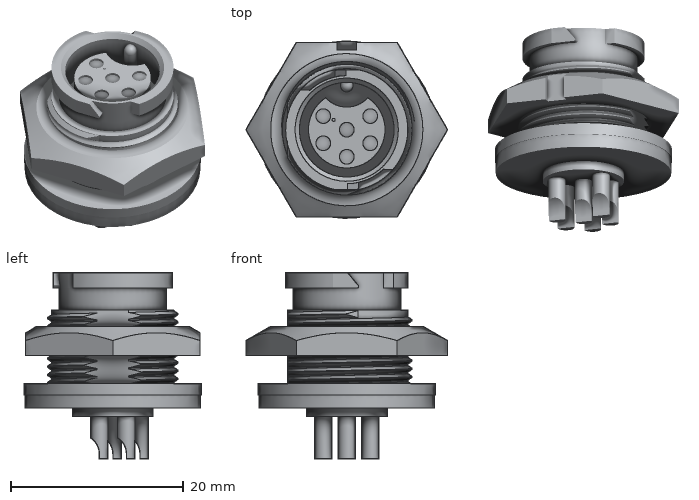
import cadquery as cq
import math


seal_radius = 10.31
seal_thickness = 1.3
flange_radius = 10.22
flange_thickness = 1.55
boss_radius = 4.71
boss_height = 1.0

barrel_radius = 7.1
barrel_length = 8.55
barrel_flat_offset = 6.86
neck_radius = 6.28
neck_length = 2.55
collar_height = 1.8

thread_pitch = 0.94
thread_crest_radius = 7.6
thread_root_width = 0.8
thread_crest_width = 0.1
thread_sink = 0.12
thread_turns = 9.5
thread_end_drop = 0.48
thread_runout_length = 1.28

collar_flat_offset = 6.93
opening_end_y = 4.6
ramp_top_x = 0.1
ramp_bottom_x = 1.38
ramp_nose_radius = 0.25

socket_radius = 5.5
socket_chamfer = 0.5
socket_depth = 5.0
insert_radius = 4.45
insert_recess = 1.65
relief_radius = 3.3
relief_offset = 5.93
key_radius = 0.715
key_offset = 5.1
key_centre_drop = insert_recess
marker_radius = 0.18
marker_height = 0.13
marker_position = (-1.52, 1.15)

contact_circle_radius = 3.15
contact_angles = [30, 150, 210, 270, 330]
contact_hole_radius = 0.85
contact_hole_depth = 0.3
pin_radius = 1.0
pin_length = 4.89
pin_cut_length = 2.42
pin_cut_radius = 2.2

nut_corner_width = 23.46
nut_thickness = 3.4
nut_height = 3.26
nut_bore_radius = 7.5
nut_face_radius = 8.85
nut_chamfer_angle = 30
nut_notch_width = 2.28
nut_notch_floor_y = 9.29
groove_radius = 7.93
groove_mouth_width = 0.6
groove_bottom_width = 0.2

neck_base = barrel_length
collar_base = neck_base + neck_length
top = collar_base + collar_height
insert_top = top - insert_recess
socket_floor = top - socket_depth
flange_top = -seal_thickness
boss_top = flange_top - flange_thickness
boss_bottom = boss_top - boss_height
pin_bottom = boss_bottom - pin_length
thread_end_z = barrel_length - thread_end_drop
thread_start_z = thread_end_z - thread_turns * thread_pitch
thread_end_angle = -90
contact_positions = [(0, 0)] + [
    (
        contact_circle_radius * math.cos(math.radians(angle)),
        contact_circle_radius * math.sin(math.radians(angle)),
    )
    for angle in contact_angles
]


def cylinder(radius, bottom, height, x=0, y=0):
    return cq.Workplane("XY", origin=(x, y, bottom)).circle(radius).extrude(height)


def box(x_range, y_range, z_range):
    sizes = [span[1] - span[0] for span in (x_range, y_range, z_range)]
    corner = (x_range[0], y_range[0], z_range[0])
    return cq.Workplane("XY").box(*sizes, centered=False).translate(corner)


def helical_ridge(inner_radius, inner_width, outer_radius, outer_width):
    """Ridge of trapezoid section along the thread helix, ending at the thread end angle."""
    height = thread_turns * thread_pitch
    helix = cq.Wire.makeHelix(thread_pitch, height, inner_radius)
    ridge = (
        cq.Workplane("XZ")
        .moveTo(inner_radius, -inner_width / 2)
        .lineTo(outer_radius, -outer_width / 2)
        .lineTo(outer_radius, outer_width / 2)
        .lineTo(inner_radius, inner_width / 2)
        .close()
        .sweep(cq.Workplane(helix), isFrenet=True)
    )
    start_angle = thread_end_angle - 360 * thread_turns
    return ridge.rotate((0, 0, 0), (0, 0, 1), start_angle).translate((0, 0, thread_start_z))


def thread_width(radius):
    """Width of the barrel thread section, continued along its flanks to a radius."""
    slope = (thread_root_width - thread_crest_width) / (thread_crest_radius - barrel_radius)
    return thread_root_width - slope * (radius - barrel_radius)


def make_thread_runout(root_radius):
    """Straight end of the thread, sliced by a ramp from the crest down to the barrel."""
    half_root = thread_width(root_radius) / 2
    half_crest = thread_crest_width / 2
    ridge = (
        cq.Workplane("YZ")
        .moveTo(-root_radius, thread_end_z - half_root)
        .lineTo(-thread_crest_radius, thread_end_z - half_crest)
        .lineTo(-thread_crest_radius, thread_end_z + half_crest)
        .lineTo(-root_radius, thread_end_z + half_root)
        .close()
        .extrude(thread_runout_length)
    )
    ramp = (
        cq.Workplane("XY", origin=(0, 0, thread_end_z - thread_pitch))
        .moveTo(0, 0)
        .lineTo(0, -thread_crest_radius)
        .lineTo(thread_runout_length, -barrel_radius)
        .lineTo(thread_runout_length, 0)
        .close()
        .extrude(2 * thread_pitch)
    )
    return ridge.intersect(ramp)


def make_barrel():
    """Threaded barrel with one long flat on its -X side."""
    root_radius = barrel_radius - thread_sink
    thread = helical_ridge(
        root_radius, thread_width(root_radius), thread_crest_radius, thread_crest_width
    )
    runout = make_thread_runout(root_radius)
    core = cylinder(barrel_radius, flange_top, barrel_length - flange_top)
    barrel = core.union(thread).union(runout)
    reach = 2 * thread_crest_radius
    envelope = box(
        (-barrel_flat_offset, reach), (-reach, reach), (-seal_thickness / 2, barrel_length)
    )
    return barrel.intersect(envelope)


def make_opening():
    """Bayonet opening on the -Y side: a ramped nose at one end, a flat stop at the other."""
    reach = 2 * barrel_radius
    outline = (
        cq.Workplane("XZ")
        .moveTo(ramp_top_x, top)
        .lineTo(ramp_bottom_x, collar_base + ramp_nose_radius)
        .threePointArc(
            (ramp_bottom_x, collar_base + ramp_nose_radius / 2),
            (ramp_bottom_x - ramp_nose_radius / 2, collar_base),
        )
        .lineTo(reach, collar_base)
        .lineTo(reach, top)
        .close()
        .extrude(reach)
    )
    beyond_stop = box((0, reach), (-reach, -opening_end_y), (collar_base, top))
    return outline.intersect(beyond_stop).cut(cylinder(neck_radius, collar_base, collar_height))


def make_collar():
    """Bayonet collar with two opposite openings and flats beside them."""
    reach = 2 * barrel_radius
    collar = cylinder(barrel_radius, collar_base, collar_height)
    flats = (-collar_flat_offset, collar_flat_offset)
    collar = collar.intersect(box((-reach, reach), flats, (collar_base, top)))
    for turn in (0, 180):
        collar = collar.cut(make_opening().rotate((0, 0, 0), (0, 0, 1), turn))
    return collar


def make_socket():
    """Hollow of the collar, chamfered at its mouth."""
    bore = cylinder(socket_radius, socket_floor, socket_depth)
    mouth = (
        cq.Workplane("XY", origin=(0, 0, top))
        .circle(socket_radius + socket_chamfer)
        .workplane(offset=-socket_chamfer)
        .circle(socket_radius)
        .loft()
    )
    return bore.union(mouth)


def make_insert():
    """Contact insert standing in the socket, with a round relief, contact holes and a marker peg."""
    height = insert_top - socket_floor
    insert = cylinder(insert_radius, socket_floor, height)
    insert = insert.cut(cylinder(relief_radius, socket_floor, height, 0, relief_offset))
    for x, y in contact_positions:
        hole_floor = insert_top - contact_hole_depth
        insert = insert.cut(cylinder(contact_hole_radius, hole_floor, contact_hole_depth, x, y))
    marker = cylinder(marker_radius, insert_top, marker_height, *marker_position)
    return insert.union(marker)


def make_key():
    """Round-nosed key rib on the socket wall."""
    ball_z = top - key_centre_drop
    height = ball_z - socket_floor
    wall_y = (socket_radius + neck_radius) / 2
    rib = cylinder(key_radius, socket_floor, height, 0, key_offset)
    rib = rib.union(box((-key_radius, key_radius), (key_offset, wall_y), (socket_floor, ball_z)))
    ball = cq.Workplane("XY", origin=(0, key_offset, ball_z)).sphere(key_radius)
    crown = (
        cq.Workplane("XZ", origin=(0, key_offset, ball_z))
        .circle(key_radius)
        .extrude(key_offset - wall_y)
    )
    return rib.union(ball).union(crown)


def make_pin(x, y):
    """Solder pin, half cut away toward +Y at its lower end with a round run-out."""
    pin = cylinder(pin_radius, pin_bottom, pin_length, x, y)
    run_out = math.sqrt(pin_cut_radius**2 - (pin_cut_radius - pin_radius) ** 2)
    cut_top = pin_bottom + pin_cut_length
    arc_angle = math.asin(run_out / pin_cut_radius) / 2
    arc_centre_y = y + pin_cut_radius
    arc_centre_z = cut_top - run_out
    arc_middle = (
        arc_centre_y - pin_cut_radius * math.cos(arc_angle),
        arc_centre_z + pin_cut_radius * math.sin(arc_angle),
    )
    cut = (
        cq.Workplane("YZ", origin=(x - pin_radius, 0, 0))
        .moveTo(y, pin_bottom)
        .lineTo(y, arc_centre_z)
        .threePointArc(arc_middle, (y + pin_radius, cut_top))
        .lineTo(y + pin_radius, pin_bottom)
        .close()
        .extrude(2 * pin_radius)
    )
    return pin.cut(cut)


def make_connector():
    connector = cylinder(seal_radius, flange_top, seal_thickness)
    connector = connector.union(cylinder(flange_radius, boss_top, flange_thickness))
    connector = connector.union(cylinder(boss_radius, boss_bottom, boss_height))
    connector = connector.union(make_barrel())
    connector = connector.union(cylinder(neck_radius, neck_base, neck_length + collar_height))
    connector = connector.union(make_collar())
    connector = connector.cut(make_socket())
    connector = connector.union(make_insert()).union(make_key())
    for x, y in contact_positions:
        connector = connector.union(make_pin(x, y))
    return connector


def make_nut():
    """Hexagon nut with corners on X, one chamfered face, a threaded bore and a notch at +Y."""
    nut_top = nut_height + nut_thickness
    corner_radius = nut_corner_width / 2
    chamfer_drop = (corner_radius - nut_face_radius) * math.tan(math.radians(nut_chamfer_angle))
    base = cq.Workplane("XY", origin=(0, 0, nut_height))
    nut = base.polygon(6, nut_corner_width).extrude(nut_thickness)
    chamfered_blank = (
        cq.Workplane("XZ")
        .moveTo(0, nut_height)
        .lineTo(corner_radius, nut_height)
        .lineTo(corner_radius, nut_top - chamfer_drop)
        .lineTo(nut_face_radius, nut_top)
        .lineTo(0, nut_top)
        .close()
        .revolve(360, (0, 0, 0), (0, 1, 0))
    )
    nut = nut.intersect(chamfered_blank)
    half_notch = nut_notch_width / 2
    nut = nut.cut(
        box((-half_notch, half_notch), (nut_notch_floor_y, corner_radius), (nut_height, nut_top))
    )
    mouth_radius = nut_bore_radius - thread_sink
    groove = helical_ridge(mouth_radius, groove_mouth_width, groove_radius, groove_bottom_width)
    return nut.cut(groove).cut(cylinder(nut_bore_radius, nut_height, nut_thickness))


connector = make_connector()
nut = make_nut()
result = cq.Compound.makeCompound([connector.solids().val(), nut.solids().val()])